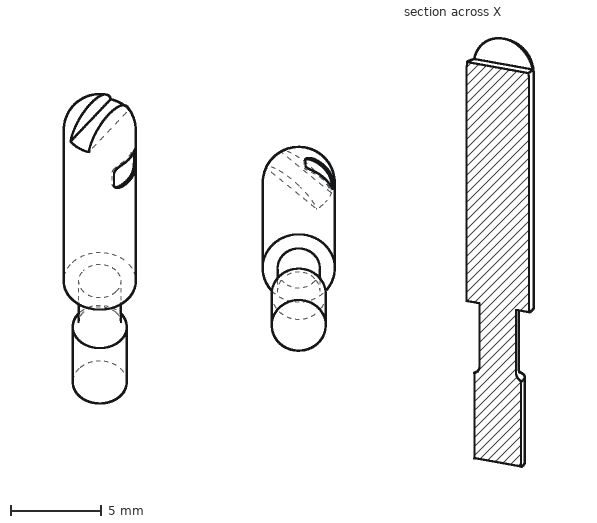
import cadquery as cq
import math

total_height = 24.6
body_diameter = 4.0
body_radius = body_diameter / 2
body_bottom = 9.1

foot_diameter = 3.0
foot_height = 5.0
neck_diameter = 2.35
neck_fillet_radius = 0.5

slot_width = 1.25
slot_floor = 23.1

recess_floor_diameter = 3.8
recess_width = 2.02
recess_height = 1.97
recess_corner_radius = 0.5
recess_center_height = 20.62

dome_center = total_height - math.sqrt(body_radius**2 - (slot_width / 2) ** 2)
dome_apex = dome_center + body_radius


def make_pin():
    """Revolve the stepped pin with its hemispherical tip about Z."""
    foot_radius = foot_diameter / 2
    neck_radius = neck_diameter / 2
    fillet_center_radius = neck_radius + neck_fillet_radius
    rim_offset = fillet_center_radius - foot_radius
    fillet_height = math.sqrt(neck_fillet_radius**2 - rim_offset**2)
    fillet_top = foot_height + fillet_height
    half_sweep = math.asin(fillet_height / neck_fillet_radius) / 2
    fillet_middle = (
        fillet_center_radius - neck_fillet_radius * math.cos(half_sweep),
        fillet_top - neck_fillet_radius * math.sin(half_sweep),
    )
    dome_middle = (
        body_radius * math.cos(math.pi / 4),
        dome_center + body_radius * math.sin(math.pi / 4),
    )
    return (
        cq.Workplane("XZ")
        .lineTo(foot_radius, 0)
        .lineTo(foot_radius, foot_height)
        .threePointArc(fillet_middle, (neck_radius, fillet_top))
        .lineTo(neck_radius, body_bottom)
        .lineTo(body_radius, body_bottom)
        .lineTo(body_radius, dome_center)
        .threePointArc(dome_middle, (0, dome_apex))
        .close()
        .revolve(360, (0, 0), (0, 1))
    )


def make_slot():
    """Box that cuts the driver slot along Y, open at the tip."""
    return (
        cq.Workplane("XY", origin=(0, 0, slot_floor))
        .rect(slot_width, body_diameter)
        .extrude(dome_apex - slot_floor)
    )


def make_recess():
    """Rounded rectangular block on the +X side with a cylindrical floor."""
    block = (
        cq.Workplane("YZ", origin=(0, 0, recess_center_height))
        .rect(recess_width, recess_height)
        .extrude(body_diameter)
        .edges("|X")
        .fillet(recess_corner_radius)
    )
    core = (
        cq.Workplane("XY", origin=(0, 0, body_bottom))
        .circle(recess_floor_diameter / 2)
        .extrude(dome_center - body_bottom)
    )
    return block.cut(core)


result = make_pin().cut(make_slot()).cut(make_recess())